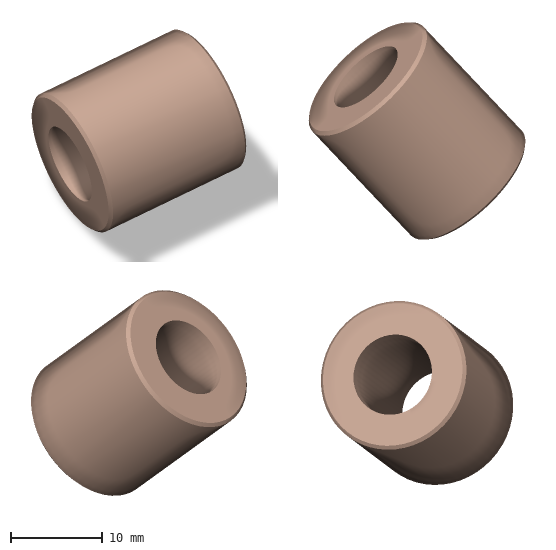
import cadquery as cq

outer_diameter = 16.7
bore_diameter = 9.0
length = 17.7
chamfer_size = 0.35


def cylinder_along_y(diameter):
    """Full-length cylinder on the Y axis, centred on the origin."""
    end_plane = cq.Workplane("XZ", origin=(0, length / 2, 0))
    return end_plane.circle(diameter / 2).extrude(length)


def sleeve_body():
    """Solid sleeve blank with both outer rims chamfered."""
    return cylinder_along_y(outer_diameter).faces("<Y or >Y").edges("%CIRCLE").chamfer(chamfer_size)


def bore():
    """Straight through-hole along the sleeve axis."""
    return cylinder_along_y(bore_diameter)


result = sleeve_body().cut(bore())